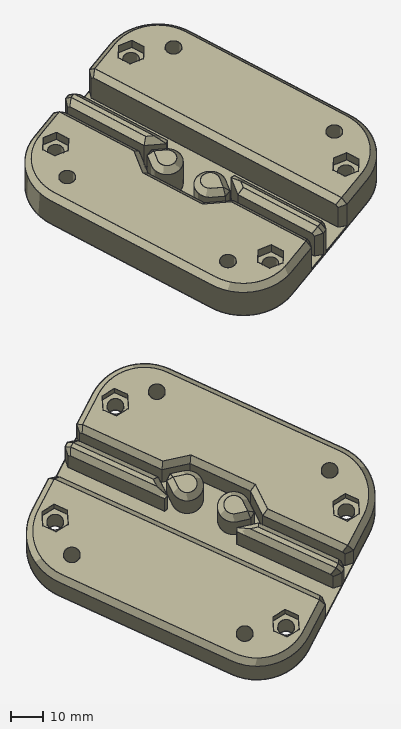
import cadquery as cq
import math

length = 96
width = 79.0
height = 14.0
corner_radius = 18.0
floor_thickness = 1.0
bevel = 2.0

wide_channel_top = 7.9
wide_channel_bottom = 0.1
narrow_channel_top = -5.6
narrow_channel_width = 2.7
pocket_outer_x = 17.5
pocket_inner_x = 10.5
pocket_depth = wide_channel_bottom - narrow_channel_top
narrow_channel_bottom = narrow_channel_top - narrow_channel_width
pocket_bottom = narrow_channel_bottom - pocket_depth

post_radius = 5.1
post_x = 8.1
post_y = (narrow_channel_top + narrow_channel_bottom) / 2
post_flank_angle = math.atan2(pocket_depth, pocket_outer_x - pocket_inner_x)

hole_diameter = 5.2
plain_hole_x = length / 2 - corner_radius
plain_hole_y = 30.2
nut_hole_x = 40.0
nut_hole_y = width / 2 - corner_radius
nut_across_flats = 8.0
nut_depth = 3.6

half_length = length / 2
half_width = width / 2
wall_height = height - floor_thickness
tolerance = 0.01


def rounded_plate(thickness):
    return cq.Workplane("XY").rect(length, width).extrude(thickness).edges("|Z").fillet(corner_radius)


body = rounded_plate(height).faces(">Z").edges().chamfer(bevel)
body_rim = body.faces(">Z").wires().val()


def island(points):
    """Straight-sided column standing on the floor."""
    return cq.Workplane("XY").workplane(offset=floor_thickness).polyline(points).close().extrude(wall_height)


def bevel_block(block, corners):
    """Bevel the top edges inside the rim of the body, and the edges rising at the given corners."""
    edges = []
    for edge in block.edges().vals():
        center = edge.Center()
        if any(math.hypot(center.x - x, center.y - y) < bevel for x, y in corners):
            edges.append(edge)
    for edge in block.faces(">Z").edges().vals():
        middle = cq.Vertex.makeVertex(*edge.positionAt(0.5).toTuple())
        if body_rim.distance(middle) > tolerance:
            edges.append(edge)
    edges.sort(key=lambda edge: edge.Center().y)
    return block.newObject(edges).chamfer(bevel)


def upper_block():
    ends = [(-half_length, wide_channel_top), (half_length, wide_channel_top)]
    outline = ends + [(half_length, half_width), (-half_length, half_width)]
    block = body.intersect(island(outline))
    return bevel_block(block, ends)


def lower_block():
    ends = [(-half_length, narrow_channel_bottom), (half_length, narrow_channel_bottom)]
    outline = [
        ends[0],
        (-pocket_outer_x, narrow_channel_bottom),
        (-pocket_inner_x, pocket_bottom),
        (pocket_inner_x, pocket_bottom),
        (pocket_outer_x, narrow_channel_bottom),
        ends[1],
        (half_length, -half_width),
        (-half_length, -half_width),
    ]
    block = body.intersect(island(outline))
    return bevel_block(block, ends)


def left_rail():
    tip = (-pocket_inner_x, wide_channel_bottom)
    ends = [(-half_length, wide_channel_bottom), (-half_length, narrow_channel_top)]
    outline = ends + [(-pocket_outer_x, narrow_channel_top), tip]
    return bevel_block(body.intersect(island(outline)), ends + [tip])


def left_post():
    tangent_x = -post_x - post_radius * math.sin(post_flank_angle)
    tangent_rise = post_radius * math.cos(post_flank_angle)
    tip = (-post_x - post_radius / math.sin(post_flank_angle), post_y)
    post = (
        cq.Workplane("XY")
        .workplane(offset=floor_thickness)
        .moveTo(*tip)
        .lineTo(tangent_x, post_y - tangent_rise)
        .threePointArc((-post_x + post_radius, post_y), (tangent_x, post_y + tangent_rise))
        .close()
        .extrude(wall_height)
    )
    return bevel_block(post, [tip])


def four_points(x, y):
    return [(-x, -y), (x, -y), (x, y), (-x, y)]


result = rounded_plate(floor_thickness).union(upper_block()).union(lower_block())
for feature in (left_rail(), left_post()):
    result = result.union(feature).union(feature.mirror("YZ"))

hole_centers = four_points(plain_hole_x, plain_hole_y) + four_points(nut_hole_x, nut_hole_y)
holes = cq.Workplane("XY").pushPoints(hole_centers).circle(hole_diameter / 2).extrude(height)
nut_pockets = (
    cq.Workplane("XY")
    .workplane(offset=height - nut_depth)
    .pushPoints(four_points(nut_hole_x, nut_hole_y))
    .polygon(6, nut_across_flats / math.cos(math.pi / 6))
    .extrude(nut_depth)
)
result = result.cut(holes).cut(nut_pockets)